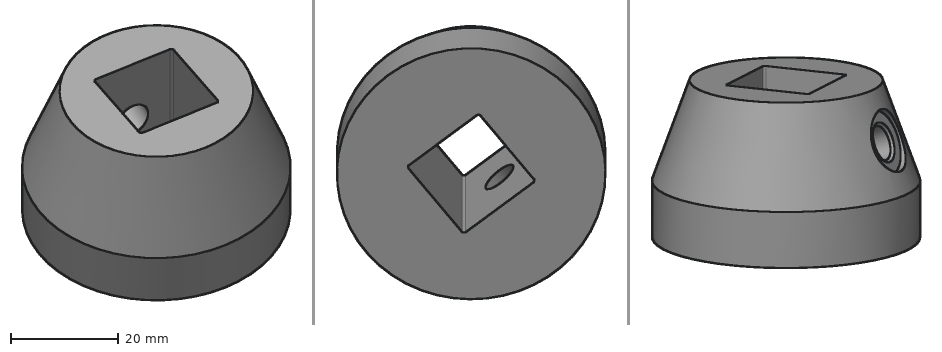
import cadquery as cq
import math

base_diameter = 50.0
top_diameter = 36.0
height = 30.0
base_height = 10.75

square_side = 17.0
square_corner_radius = 0.5

screw_height = 20.6
screw_hole_diameter = 6.6
hole_chamfer = 0.55
seat_diameter = 12.1
seat_depth = 1.5

base_radius = base_diameter / 2
top_radius = top_diameter / 2
cone_height = height - base_height
cone_run = base_radius - top_radius
flank_angle = math.atan2(cone_run, cone_height)


def make_body():
    """Revolve the half profile about Z."""
    return (
        cq.Workplane("XZ")
        .polyline([(0, 0), (base_radius, 0), (base_radius, base_height), (top_radius, height), (0, height)])
        .close()
        .revolve(360, (0, 0, 0), (0, 1, 0))
    )


def make_square_hole():
    return (
        cq.Workplane("XY")
        .rect(square_side, square_side)
        .extrude(height)
        .edges("|Z")
        .fillet(square_corner_radius)
    )


def make_screw_hole():
    """Revolve a stepped cutter about the flank normal; it ends inside the square hole."""
    flank_radius = base_radius - cone_run * (screw_height - base_height) / cone_height
    inward = cq.Vector(math.cos(flank_angle), 0, -math.sin(flank_angle))
    flank_point = cq.Vector(-flank_radius, 0, screw_height)
    screw_radius = screw_hole_diameter / 2
    seat_radius = seat_diameter / 2
    clearance = seat_diameter / 2
    reach = flank_radius / math.cos(flank_angle)
    plane = cq.Plane(origin=flank_point, xDir=inward, normal=(0, 1, 0))
    return (
        cq.Workplane(plane)
        .moveTo(-clearance, 0)
        .lineTo(-clearance, seat_radius)
        .lineTo(seat_depth, seat_radius)
        .lineTo(seat_depth, screw_radius + hole_chamfer)
        .lineTo(seat_depth + hole_chamfer, screw_radius)
        .lineTo(reach, screw_radius)
        .lineTo(reach, 0)
        .close()
        .revolve(360, (0, 0, 0), (1, 0, 0))
    )


result = make_body().cut(make_square_hole()).cut(make_screw_hole())